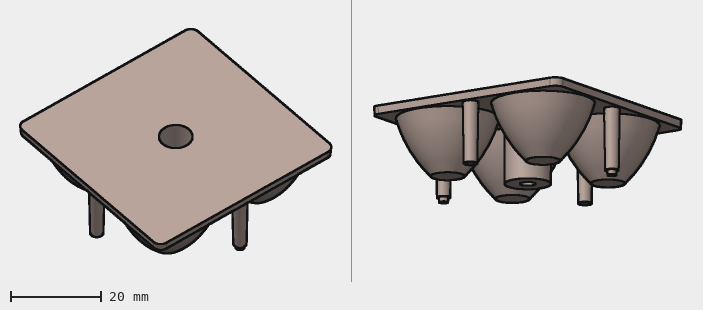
import cadquery as cq
import math

plate_size = 49.9
plate_thickness = 1.9
plate_corner_radius = 2.0
plate_draft = 3.5

bowl_offset = 12.7
bowl_bottom_z = -15.0
bowl_top_radius = 11.45
bowl_bottom_radius = 3.75
bowl_middle_radius = 8.95
bowl_middle_z = -8.0

post_offset = 22.42
post_bottom_z = -15.9
post_top_radius = 1.75
post_bottom_radius = 1.5
post_edge_chamfer = 0.15
pin_root_radius = 1.1
pin_tip_radius = 1.0
pin_bottom_z = -17.0

boss_radius = 5.1
boss_bottom_z = post_bottom_z
well_top_radius = 3.7
well_draft = 2.0
well_depth = 13.0
screw_hole_radius = 1.75

plate_underside_z = -plate_thickness


def make_plate():
    """Square plate with drafted sides and rounded corners."""
    return (
        cq.Workplane("XY")
        .rect(plate_size, plate_size)
        .extrude(-plate_thickness, taper=plate_draft)
        .edges("not(|X or |Y)")
        .fillet(plate_corner_radius)
    )


def make_bowl():
    """Solid of revolution with a curved flank, embedded in the plate."""
    return (
        cq.Workplane("XZ")
        .lineTo(bowl_top_radius, 0)
        .lineTo(bowl_top_radius, plate_underside_z)
        .threePointArc((bowl_middle_radius, bowl_middle_z), (bowl_bottom_radius, bowl_bottom_z))
        .lineTo(0, bowl_bottom_z)
        .close()
        .revolve(360, (0, 0), (0, 1))
    )


def make_tapered_rod(top_radius, top_z, bottom_radius, bottom_z):
    """Round rod, straight from z = 0 to top_z and then tapering to its free end."""
    return (
        cq.Workplane("XZ")
        .lineTo(top_radius, 0)
        .lineTo(top_radius, top_z)
        .lineTo(bottom_radius, bottom_z)
        .lineTo(0, bottom_z)
        .close()
        .revolve(360, (0, 0), (0, 1))
    )


def make_post():
    return make_tapered_rod(post_top_radius, plate_underside_z, post_bottom_radius, post_bottom_z)


def make_pinned_post():
    """Post with a smaller tapered locating pin on its free end."""
    pin = make_tapered_rod(pin_root_radius, post_bottom_z, pin_tip_radius, pin_bottom_z)
    return make_post().union(pin)


def make_chamfered_post():
    """Post with a small chamfer around its free end."""
    return make_post().faces("<Z").edges().chamfer(post_edge_chamfer)


def make_boss():
    return cq.Workplane("XY").circle(boss_radius).extrude(boss_bottom_z)


def make_screw_hole():
    """Tapered well from the outer face, continued by a narrow through hole."""
    well_floor_radius = well_top_radius - well_depth * math.tan(math.radians(well_draft))
    return (
        cq.Workplane("XZ")
        .lineTo(well_top_radius, 0)
        .lineTo(well_floor_radius, -well_depth)
        .lineTo(screw_hole_radius, -well_depth)
        .lineTo(screw_hole_radius, boss_bottom_z)
        .lineTo(0, boss_bottom_z)
        .close()
        .revolve(360, (0, 0), (0, 1))
    )


result = make_plate().union(make_boss())
for side in (-1, 1):
    for end in (-1, 1):
        result = result.union(make_bowl().translate((side * bowl_offset, end * bowl_offset, 0)))
    result = result.union(make_pinned_post().translate((side * post_offset, 0, 0)))
    result = result.union(make_chamfered_post().translate((0, side * post_offset, 0)))
result = result.cut(make_screw_hole())